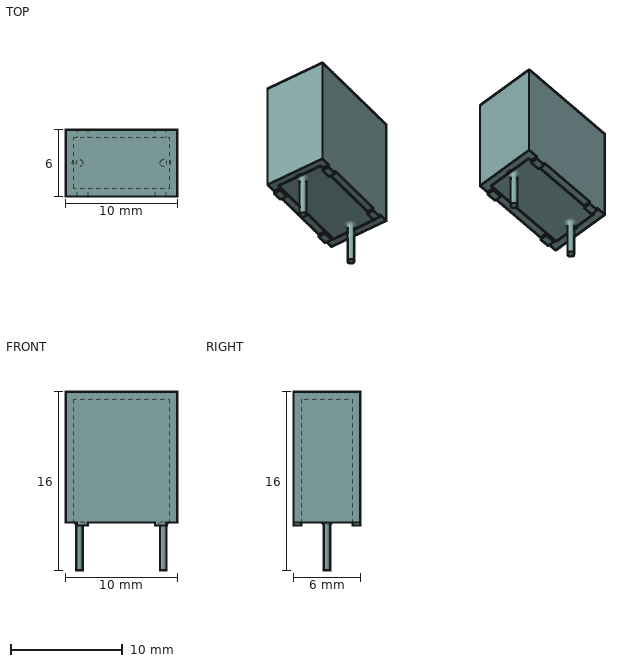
import cadquery as cq

total_height = 16.0
housing_width = 10.0
housing_depth = 6.0

standing_height = 12.0
foot_height = 0.29
foot_width = 1.0
foot_inset = 1.0
wall = 0.7

lead_diameter = 0.6
lead_pitch = 7.5
flare_radius = 0.35

lead_radius = lead_diameter / 2
lead_length = total_height - standing_height
foot_bottom = lead_length
rim_level = foot_bottom + foot_height
filling_level = foot_bottom + flare_radius
housing_height = standing_height - foot_height
cavity_width = housing_width - 2 * wall
cavity_depth = housing_depth - 2 * wall
cavity_height = housing_height - wall
filling_height = total_height - wall - filling_level
foot_x = housing_width / 2 - foot_inset - foot_width / 2
foot_y = (housing_depth - wall) / 2


def block(width, depth, height, bottom):
    """Box centred on the Z axis, standing on the level `bottom`."""
    return (
        cq.Workplane("XY", origin=(0, 0, bottom))
        .box(width, depth, height, centered=(True, True, False))
    )


def make_housing():
    """Open-bottomed box whose feet extend the front and back walls downward."""
    shell = block(housing_width, housing_depth, housing_height, rim_level)
    cavity = block(cavity_width, cavity_depth, cavity_height, rim_level)
    housing = shell.cut(cavity)
    for side_x in (-1, 1):
        for side_y in (-1, 1):
            foot = block(foot_width, wall, foot_height, foot_bottom)
            housing = housing.union(foot.translate((side_x * foot_x, side_y * foot_y, 0)))
    return housing


def make_lead():
    """Round lead that flares out in a concave quarter arc where it meets the filling."""
    arc_reach = flare_radius * 0.5 ** 0.5
    arc_middle = (lead_radius + flare_radius - arc_reach, foot_bottom + arc_reach)
    return (
        cq.Workplane("XZ")
        .moveTo(0, 0)
        .lineTo(lead_radius, 0)
        .lineTo(lead_radius, foot_bottom)
        .threePointArc(arc_middle, (lead_radius + flare_radius, filling_level))
        .lineTo(0, filling_level)
        .close()
        .revolve(360, (0, 0, 0), (0, 1, 0))
    )


def make_filling():
    """Block set slightly inside the rim of the housing, joined to its two leads."""
    filling = block(cavity_width, cavity_depth, filling_height, filling_level)
    for side_x in (-1, 1):
        filling = filling.union(make_lead().translate((side_x * lead_pitch / 2, 0, 0)))
    return filling


housing = make_housing()
filling = make_filling()

result = cq.Compound.makeCompound([housing.val(), filling.val()])